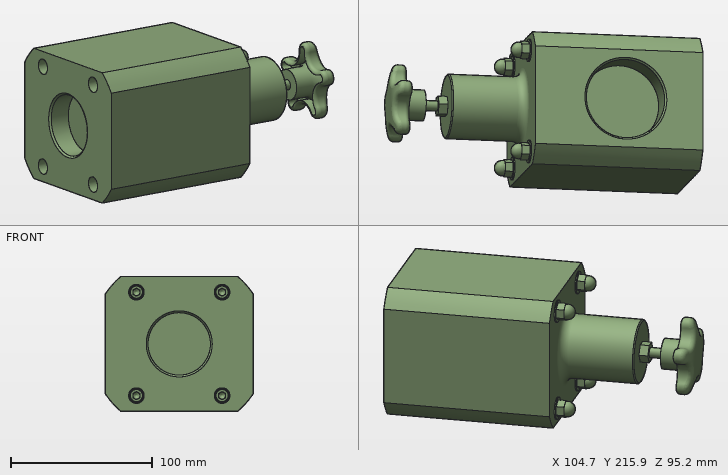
import cadquery as cq
import math

body_width = 104.7
body_height = 95.2
body_length = 120.5
corner_diameter = 126.0

front_port_diameter = 44.0
front_port_depth = 16.2
side_port_diameter = 56.3
side_port_depth = 23.3
side_port_y = 55.5
port_chamfer = 1.3

bolt_spacing_x = 60.5
bolt_spacing_z = 73.0
recess_diameter = 11.0
head_diameter = 9.5
head_chamfer = 0.5
head_depth = 13.0
head_height = 6.0
socket_across_flats = 5.0
socket_depth = 3.0
socket_tip_angle = 120
washer_diameter = 16.0
washer_thickness = 0.9
nut_across_flats = 11.0
nut_hex_height = 5.6
nut_collar_height = 1.3

overall_length = 215.9
sleeve_diameter = 45.8
sleeve_end = 174.5
sleeve_chamfer = 0.9
sleeve_fillet = 6.3
lock_nut_across_flats = 13.0
lock_nut_height = 6.5
lock_nut_turn = 30
spindle_diameter = 7.3

hub_diameter = 22.0
hub_length = 12.7
knob_thickness = 12.3
arm_count = 5
arm_reach = 28.5
tip_radius = 5.6
valley_radius = 16.6
dome_overhang = 2.2
dome_drop = 5.2
bottom_fillet = 3.0
top_fillet = 3.5
knob_wall = 2.8
hub_flare = 8.2

bolt_places = [
    (side * bolt_spacing_x / 2, level * bolt_spacing_z / 2) for side in (-1, 1) for level in (-1, 1)
]
knob_base = overall_length - knob_thickness


def plane_at(y):
    """Plane across the main axis, facing +Y, with its local axes along +Z and +X."""
    return cq.Workplane(cq.Plane(origin=(0, y, 0), xDir=(0, 0, 1), normal=(0, 1, 0)))


def rod(diameter, start, end, x=0, z=0):
    return plane_at(start).center(z, x).circle(diameter / 2).extrude(end - start)


def hexagon(across_flats, start, end, x=0, z=0, turn=0):
    """Hexagonal bar along Y; its corners point along Z unless it is turned."""
    bar = plane_at(start).polygon(6, across_flats / math.cos(math.pi / 6)).extrude(end - start)
    return bar.rotate((0, 0, 0), (0, 1, 0), turn).translate((x, 0, z))


def make_body():
    block = cq.Workplane("XY").box(body_width, body_length, body_height)
    block = block.translate((0, body_length / 2, 0))
    return block.intersect(rod(corner_diameter, 0, body_length))


def port_cutter(diameter, depth):
    """Blind bore along +Y with a chamfered mouth at Y = 0."""
    radius = diameter / 2
    return (
        cq.Workplane("XY")
        .moveTo(0, 0)
        .lineTo(radius + port_chamfer, 0)
        .lineTo(radius, port_chamfer)
        .lineTo(radius, depth)
        .lineTo(0, depth)
        .close()
        .revolve(360, (0, 0), (0, 1))
    )


def make_bolt_head():
    """Bolt head with a hexagon socket that ends in a cone."""
    head = rod(head_diameter, head_depth, head_depth + head_height).faces("<Y").chamfer(head_chamfer)
    socket_floor = head_depth + socket_depth
    head = head.cut(hexagon(socket_across_flats, head_depth, socket_floor))
    tip_radius_at_floor = socket_across_flats / 2
    tip_length = tip_radius_at_floor / math.tan(math.radians(socket_tip_angle / 2))
    tip = cq.Solid.makeCone(
        tip_radius_at_floor, 0, tip_length, cq.Vector(0, socket_floor, 0), cq.Vector(0, 1, 0)
    )
    return head.cut(cq.Workplane(tip))


def make_cap_nut():
    """Washer, hexagon, short collar and domed cap standing on the rear face."""
    hex_start = body_length + washer_thickness
    hex_end = hex_start + nut_hex_height
    dome_start = hex_end + nut_collar_height
    dome = cq.Workplane("XY").sphere(nut_across_flats / 2).translate((0, dome_start, 0))
    return (
        rod(washer_diameter, body_length, hex_start)
        .union(hexagon(nut_across_flats, hex_start, hex_end))
        .union(rod(nut_across_flats, hex_end, dome_start))
        .union(dome)
    )


def flared_foot(post_diameter, fillet, face_y, direction):
    """Round fillet with its core, joining a post to a face; direction is the way the post leaves."""
    radius = post_diameter / 2
    bend = fillet * (1 - math.sqrt(0.5))
    post_y = face_y + direction * fillet
    return (
        cq.Workplane("XY")
        .moveTo(0, face_y)
        .lineTo(radius + fillet, face_y)
        .threePointArc((radius + bend, face_y + direction * bend), (radius, post_y))
        .lineTo(0, post_y)
        .close()
        .revolve(360, (0, face_y), (0, face_y + 2.2))
    )


def make_sleeve():
    """Spring sleeve that flares into the rear face."""
    sleeve = rod(sleeve_diameter, body_length, sleeve_end).faces(">Y").chamfer(sleeve_chamfer)
    return sleeve.union(flared_foot(sleeve_diameter, sleeve_fillet, body_length, 1))


def polar(radius, angle):
    return (radius * math.cos(angle), radius * math.sin(angle))


def star_outline(inset=0):
    """Star with round tips and round valleys, tangent to each other; one arm points along +Z.

    The inset moves the whole outline inward.
    """
    half_pitch = math.pi / arm_count
    reach = arm_reach - inset
    tip = tip_radius - inset
    valley = valley_radius - inset
    tip_centre = reach - tip
    gap = tip - valley
    valley_centre = (tip_centre**2 - gap**2) / (2 * (gap + tip_centre * math.cos(half_pitch)))
    centre_distance = tip + valley_centre - valley
    share = tip / centre_distance
    valley_x, valley_y = polar(valley_centre, half_pitch)
    touch_x = tip_centre + share * (valley_x - tip_centre)
    touch_y = share * valley_y
    touch_radius = math.hypot(touch_x, touch_y)
    touch_angle = math.atan2(touch_y, touch_x)

    outline = plane_at(knob_base).moveTo(*polar(touch_radius, -touch_angle))
    for arm in range(arm_count):
        angle = 2 * half_pitch * arm
        outline = outline.threePointArc(polar(reach, angle), polar(touch_radius, angle + touch_angle))
        outline = outline.threePointArc(
            polar(valley, angle + half_pitch),
            polar(touch_radius, angle + 2 * half_pitch - touch_angle),
        )
    return outline.close()


def make_dome():
    """Round disc whose top is flat above the hub and bends down evenly to the rim."""
    flat = hub_diameter / 2
    rim = arm_reach + dome_overhang
    reach = rim - flat
    dome_radius = (reach**2 + dome_drop**2) / (2 * dome_drop)
    half_angle = math.asin(reach / dome_radius) / 2
    dome_middle = (
        flat + dome_radius * math.sin(half_angle),
        overall_length - dome_radius * (1 - math.cos(half_angle)),
    )
    return (
        cq.Workplane("XY")
        .moveTo(0, knob_base)
        .lineTo(rim, knob_base)
        .lineTo(rim, overall_length - dome_drop)
        .threePointArc(dome_middle, (flat, overall_length))
        .lineTo(0, overall_length)
        .close()
        .revolve(360, (0, knob_base), (0, knob_base + 2.2))
    )


def make_knob():
    """Domed star knob with rounded edges, hollow underneath, on a round hub."""
    dome = make_dome()
    star = star_outline().extrude(knob_thickness).intersect(dome)
    star = star.edges("%BSPLINE").fillet(top_fillet)
    star = star.faces("<Y").edges().fillet(bottom_fillet)
    hollow = star_outline(knob_wall).extrude(knob_thickness)
    hollow = hollow.intersect(dome.translate((0, -knob_wall, 0)))
    roof = overall_length - knob_wall
    hollow = hollow.cut(flared_foot(hub_diameter, hub_flare, roof, -1))
    return star.cut(hollow).union(rod(hub_diameter, knob_base - hub_length, roof))


result = make_body()
result = result.cut(port_cutter(front_port_diameter, front_port_depth))
side_port = port_cutter(side_port_diameter, side_port_depth).rotate((0, 0, 0), (0, 0, 1), -90)
result = result.cut(side_port.translate((-body_width / 2, side_port_y, 0)))

for bolt_x, bolt_z in bolt_places:
    result = result.cut(rod(recess_diameter, 0, head_depth + head_height, bolt_x, bolt_z))
    result = result.union(make_bolt_head().translate((bolt_x, 0, bolt_z)))
    result = result.union(make_cap_nut().translate((bolt_x, 0, bolt_z)))

lock_nut_end = sleeve_end + lock_nut_height
result = (
    result.union(make_sleeve())
    .union(hexagon(lock_nut_across_flats, sleeve_end, lock_nut_end, turn=lock_nut_turn))
    .union(rod(spindle_diameter, lock_nut_end, knob_base - hub_length))
    .union(make_knob())
)